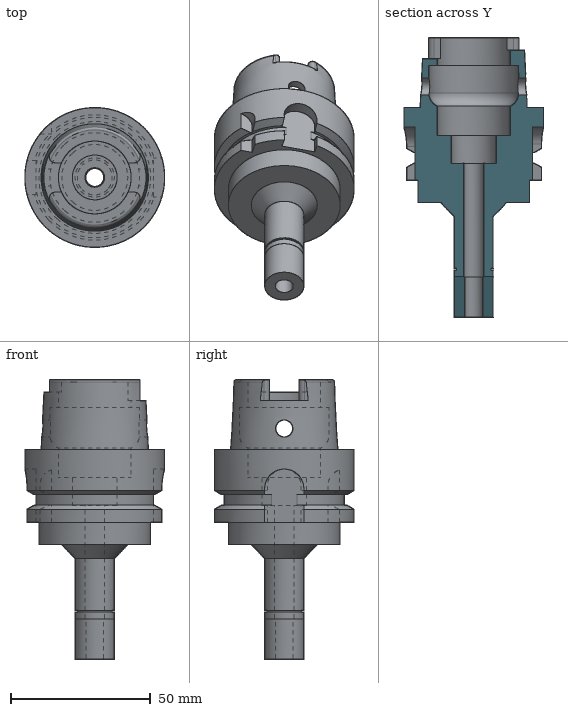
import cadquery as cq
import math


TAPER_TOP_Z = 25.0
TAPER_BASE_DIA = 38.4
TAPER_RATIO = 0.1
TAPER_TIP_FILLET = 1.0

DRIVE_SLOT_WIDTH = 10.5
DRIVE_SLOT_MOUTH_RADIUS = 2.0
DRIVE_SLOT_MOUTH_X = 16.2
DRIVE_SLOT_DEPTH_NEG_X = 4.5
DRIVE_SLOT_DEPTH_POS_X = 7.5

BORE_DIA = 26.0
CHAMBER_DIA = 32.0
CHAMBER_TOP_Z = 15.0
CHAMBER_WALL_BOTTOM_Z = 5.1
CHAMBER_FILLET = 5.0
BORE_FLOOR_Z = -10.0
SOCKET_DIA = 16.0
SOCKET_DEPTH = 10.0
CROSS_HOLE_DIA = 6.0
CROSS_HOLE_Z = 7.5

FLANGE_DIA = 50.0
FLANGE_THICKNESS = 26.0
GROOVE_CENTRE_Z = -18.0
GROOVE_FLOOR_DIA = 43.0
GROOVE_FLOOR_WIDTH = 3.7
GROOVE_FLANK_INNER_DIA = 44.8
GROOVE_FLANK_ANGLE = 30.0

KEY_SLOT_TOP_Z = -7.0
KEY_SLOT_FLOOR_X = 21.0
KEY_SLOT_WIDTH_NEG_X = 12.0
KEY_SLOT_WIDTH_POS_X = 14.0

NOTCH_FLOOR_X = 15.4
NOTCH_WALL_Y = 15.6
NOTCH_RADIUS = 6.0

COLLAR_DIA = 40.0
COLLAR_BOTTOM_Z = -34.0
CONE_TOP_DIA = 23.6
CONE_BOTTOM_Z = -39.0
STEM_DIA = 14.0
STEM_HOLE_DIA = 7.0
STEM_GROOVE_DIA = 12.5
STEM_GROOVE_TOP_Z = -57.5
STEM_GROOVE_WIDTH = 0.6

SLEEVE_TOP_Z = -60.5
SLEEVE_BOTTOM_Z = -75.0
SLEEVE_HOLE_DIA = 6.4


CLEARANCE = 5.0


def cylinder(diameter, bottom_z, top_z):
    return cq.Workplane("XY").workplane(offset=bottom_z).circle(diameter / 2).extrude(top_z - bottom_z)


def outer_form():
    """Revolved taper, flange, collar, cone and stem, without the grooves."""
    taper_top_dia = TAPER_BASE_DIA - TAPER_RATIO * TAPER_TOP_Z
    outline = [
        (0, TAPER_TOP_Z),
        (taper_top_dia / 2, TAPER_TOP_Z),
        (TAPER_BASE_DIA / 2, 0),
        (FLANGE_DIA / 2, 0),
        (FLANGE_DIA / 2, -FLANGE_THICKNESS),
        (COLLAR_DIA / 2, -FLANGE_THICKNESS),
        (COLLAR_DIA / 2, COLLAR_BOTTOM_Z),
        (CONE_TOP_DIA / 2, COLLAR_BOTTOM_Z),
        (STEM_DIA / 2, CONE_BOTTOM_Z),
        (STEM_DIA / 2, SLEEVE_TOP_Z),
        (0, SLEEVE_TOP_Z),
    ]
    form = cq.Workplane("XZ").polyline(outline).close().revolve(360, (0, 0), (0, 1))
    return form.faces(">Z").edges().fillet(TAPER_TIP_FILLET)


def gripper_groove():
    """Ring cutter: a square-sided channel that opens into two sloping flanks."""
    flank_rise = (FLANGE_DIA - GROOVE_FLANK_INNER_DIA) / 2 * math.tan(math.radians(GROOVE_FLANK_ANGLE))
    inner_half = GROOVE_FLOOR_WIDTH / 2
    outer_half = inner_half + flank_rise
    outline = [
        (GROOVE_FLOOR_DIA / 2, -inner_half),
        (GROOVE_FLANK_INNER_DIA / 2, -inner_half),
        (FLANGE_DIA / 2, -outer_half),
        (FLANGE_DIA / 2 + CLEARANCE, -outer_half),
        (FLANGE_DIA / 2 + CLEARANCE, outer_half),
        (FLANGE_DIA / 2, outer_half),
        (GROOVE_FLANK_INNER_DIA / 2, inner_half),
        (GROOVE_FLOOR_DIA / 2, inner_half),
    ]
    ring = cq.Workplane("XZ").polyline(outline).close().revolve(360, (0, 0), (0, 1))
    return ring.translate((0, 0, GROOVE_CENTRE_Z))


def stem_groove():
    bottom_z = STEM_GROOVE_TOP_Z - STEM_GROOVE_WIDTH
    ring = cylinder(STEM_DIA + CLEARANCE, bottom_z, STEM_GROOVE_TOP_Z)
    return ring.cut(cylinder(STEM_GROOVE_DIA, bottom_z, STEM_GROOVE_TOP_Z))


def inner_hollow():
    """Bore with a round-bottomed undercut chamber, then socket and coolant hole along the axis."""
    chamber_bottom_z = CHAMBER_WALL_BOTTOM_Z - CHAMBER_FILLET
    chamber = cylinder(CHAMBER_DIA, chamber_bottom_z, CHAMBER_TOP_Z)
    chamber = chamber.faces("<Z").edges().fillet(CHAMBER_FILLET)
    socket_floor_z = BORE_FLOOR_Z - SOCKET_DEPTH
    hollow = chamber.union(cylinder(BORE_DIA, BORE_FLOOR_Z, TAPER_TOP_Z))
    hollow = hollow.union(cylinder(SOCKET_DIA, socket_floor_z, BORE_FLOOR_Z))
    return hollow.union(cylinder(STEM_HOLE_DIA, SLEEVE_TOP_Z, socket_floor_z))


def cross_hole():
    return (
        cq.Workplane("YZ")
        .center(0, CROSS_HOLE_Z)
        .circle(CROSS_HOLE_DIA / 2)
        .extrude(TAPER_BASE_DIA / 2, both=True)
    )


def drive_slot(side, depth):
    """Slot through one side of the rim, its mouth flared by two quarter rounds; side is -1 or +1."""
    half_width = DRIVE_SLOT_WIDTH / 2
    flare_x = DRIVE_SLOT_MOUTH_X - DRIVE_SLOT_MOUTH_RADIUS
    flare_y = half_width + DRIVE_SLOT_MOUTH_RADIUS
    round_offset = DRIVE_SLOT_MOUTH_RADIUS * math.sqrt(0.5)
    round_x = flare_x + round_offset
    round_y = flare_y - round_offset
    outer_x = TAPER_BASE_DIA / 2 + CLEARANCE
    outer_y = TAPER_BASE_DIA / 2
    return (
        cq.Workplane("XY")
        .workplane(offset=TAPER_TOP_Z - depth)
        .moveTo(0, -half_width)
        .lineTo(side * flare_x, -half_width)
        .threePointArc((side * round_x, -round_y), (side * DRIVE_SLOT_MOUTH_X, -flare_y))
        .lineTo(side * DRIVE_SLOT_MOUTH_X, -outer_y)
        .lineTo(side * outer_x, -outer_y)
        .lineTo(side * outer_x, outer_y)
        .lineTo(side * DRIVE_SLOT_MOUTH_X, outer_y)
        .lineTo(side * DRIVE_SLOT_MOUTH_X, flare_y)
        .threePointArc((side * round_x, round_y), (side * flare_x, half_width))
        .lineTo(0, half_width)
        .close()
        .extrude(depth + CLEARANCE)
    )


def round_topped_cutter(side, floor_x, centre_y, width):
    """Flat-floored slot with a half-round top, open at the flange underside; side is -1 or +1."""
    radius = width / 2
    centre_z = KEY_SLOT_TOP_Z - radius
    return (
        cq.Workplane("YZ", origin=(side * floor_x, centre_y, 0))
        .moveTo(-radius, -FLANGE_THICKNESS)
        .lineTo(-radius, centre_z)
        .threePointArc((0, KEY_SLOT_TOP_Z), (radius, centre_z))
        .lineTo(radius, -FLANGE_THICKNESS)
        .close()
        .extrude(side * (FLANGE_DIA / 2 - floor_x + CLEARANCE))
    )


def make_holder():
    body = outer_form()
    body = body.cut(gripper_groove()).cut(stem_groove())
    body = body.cut(inner_hollow()).cut(cross_hole())
    body = body.cut(drive_slot(-1, DRIVE_SLOT_DEPTH_NEG_X))
    body = body.cut(drive_slot(1, DRIVE_SLOT_DEPTH_POS_X))
    body = body.cut(round_topped_cutter(-1, KEY_SLOT_FLOOR_X, 0, KEY_SLOT_WIDTH_NEG_X))
    body = body.cut(round_topped_cutter(1, KEY_SLOT_FLOOR_X, 0, KEY_SLOT_WIDTH_POS_X))
    notch_centre_y = NOTCH_WALL_Y + NOTCH_RADIUS
    return body.cut(round_topped_cutter(-1, NOTCH_FLOOR_X, notch_centre_y, 2 * NOTCH_RADIUS))


def make_end_sleeve():
    sleeve = cylinder(STEM_DIA, SLEEVE_BOTTOM_Z, SLEEVE_TOP_Z)
    return sleeve.cut(cylinder(SLEEVE_HOLE_DIA, SLEEVE_BOTTOM_Z, SLEEVE_TOP_Z))


holder = make_holder()
end_sleeve = make_end_sleeve()

result = cq.Compound.makeCompound([holder.val(), end_sleeve.val()])